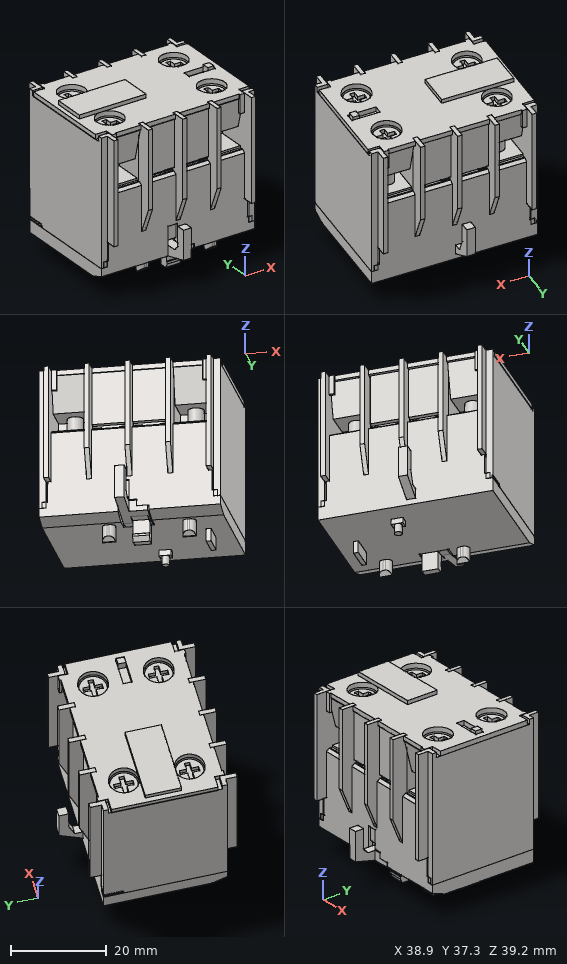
import cadquery as cq


HALF_X = 19.4
HALF_Y = 13.42
TOP_Z = 34.05
WALL = 1.1
INNER_Y = HALF_Y - WALL
PLATE_Z = 3.15
WALL_EDGE_Z = 19.9
WALL_TOP_Z = 20.4
BEVEL_Y = 12.65
BASE_CHAMFER_Z = 1.18
BASE_CHAMFER_Y = 3.3

RIB_PITCH = 8.67
RIB_WIDTH = 1.05
RIB_TIP_Y = 15.95
RIB_FOOT_Z = 9.0
RIB_SLOPE_Z = 15.05
OUTER_RIB_IN_X = 2 * RIB_PITCH - RIB_WIDTH / 2
OUTER_RIB_OUT_X = 2 * RIB_PITCH + RIB_WIDTH / 2

TAB_X = 18.72
TAB_Z = 4.47
TAB_SETBACK = 0.08
GROOVE_X = 17.55

COVER_THICK = 1.18
SHELL_TOP_Z = TOP_Z - COVER_THICK
LEDGE_Y = 11.78
FLOOR_Z = 20.9
BAY_CEILING_Z = 25.12
BAY_BACK_Y = 5.1
HOOD_TOP_Y = 12.95
HOOD_BOTTOM_Y = 11.0
PANEL_Y = 12.87
PANEL_BOTTOM_Z = 21.35
PANEL_GAP = 0.15
STEP_Z = 20.72
STEP_NOTCH = 3.8
SIDE_NOTCH_DEPTH = 0.25
SIDE_NOTCH_Z = 3.75
SIDE_NOTCH_Y = 8.87
SIDE_NOTCH_TOP_Y = 9.25

TOP_CENTER_Y = 0.2
COVER_LEFT_X = -19.5
COVER_HALF_Y = 13.35
CORNER_HALF_Y = 11.55
CORNER_X = 16.72
LIP_WIDTH = 1.15
LIP_HALF_Y = 13.7
LIP_THICK = 0.55
LIP_BOTTOM_Z = 29.5
LABEL_LEFT_X = -18.4
LABEL_RIGHT_X = -1.57
LABEL_WIDTH = 7.85
LABEL_HEIGHT = 0.95

SCREW_X = 12.87
SCREW_Y = 7.1
SCREW_HOLE_D = 6.45
HEAD_D = 5.95
HEAD_TOP_Z = 32.6
HEAD_THICK = 1.95
SHANK_D = 3.45
CROSS_LENGTH = 4.15
CROSS_WIDTH = 1.05
CROSS_DEPTH = 1.0

SLOT_LEFT_X = 11.35
SLOT_RIGHT_X = 17.95
SLOT_WIDTH = 1.95
KNOB_LEFT_X = 16.1
KNOB_RIGHT_X = 17.62
KNOB_WIDTH = 1.73
KNOB_TOP_Z = 34.7

LATCH_Y = 18.65
GRIP_Y = 16.5
FRONT_LATCH_LEFT_X = -2.15
FRONT_LATCH_RIGHT_X = -0.15
LATCH_BACK_Y = -7.22
LATCH_TOP_Z = 3.4
FRONT_GRIP_TOP_Z = 9.45
FRONT_GRIP_BOTTOM_Z = 2.28
FRONT_ELBOW_Y = 15.25
FRONT_ELBOW_Z = 4.67
LATCH_STEP_X = 1.5
LATCH_STEP_Z = 2.15
LATCH_FOOT_X = 3.85
LATCH_GAP = 0.25
HOOK_RIGHT_X = 3.45
HOOK_BOTTOM_Z = -4.25
HOOK_FRONT_Y = -9.22
HOOK_RELIEF_Z = 0.55
BARB_FRONT_Y = -9.58
BARB_TOP_Z = -2.6
BARB_CHAMFER_Z = -3.1
BARB_TIP_Y = -8.95
LATCH_SLOT_LEFT_X = -2.5
LATCH_SLOT_TOP_Z = 4.6
GRIP_RECESS_Z = 8.2
GRIP_RECESS_DEPTH = 0.6
REAR_LATCH_LEFT_X = -2.28
REAR_LATCH_WIDTH = 2.0
REAR_GRIP_TOP_Z = 11.1
REAR_GRIP_BOTTOM_Z = 4.1
REAR_ELBOW_Y = 15.2
REAR_ELBOW_Z = 6.55
REAR_TONGUE_BOTTOM_Z = 1.3
REAR_TONGUE_TOP_Z = 3.6

PIN_X = (-5.45, 11.75)
PIN_Y = -8.12
PIN_LENGTH = 2.83
PIN_WIDTH = 2.3
PIN_SHOULDER_Z = -2.55
PIN_TIP_Z = -3.45
PIN_TIP_FLAT = 0.4
BLADE_X = (14.25, 15.3)
BLADE_Y = (-3.05, 2.4)
BLADE_Z = -2.8
STUD_X = 3.45
STUD_Y = 7.93
STUD_D = 1.7
STUD_Z = -3.2
STUD_BLOCK_X = 2.6
STUD_BLOCK_Z = -1.25


def span(x0, x1, y0, y1, z0, z1):
    """Box between two opposite corners."""
    return cq.Workplane("XY").box(x1 - x0, y1 - y0, z1 - z0, centered=False).translate((x0, y0, z0))


def yz_prism(points, x0, x1):
    """Prism with a (y, z) outline, from x0 to x1."""
    return cq.Workplane("YZ", origin=(x0, 0, 0)).polyline(points).close().extrude(x1 - x0)


def mirrored(front, plane):
    """A shape joined with its mirror image."""
    return front.union(front.mirror(plane))


def base_wall():
    """Front wall, narrowing in steps where the shell corners come down beside it."""
    right_edge = [
        (TAB_X, PLATE_Z),
        (TAB_X, TAB_Z),
        (GROOVE_X, TAB_Z),
        (GROOVE_X, RIB_FOOT_Z),
        (OUTER_RIB_IN_X, RIB_FOOT_Z),
        (OUTER_RIB_IN_X, WALL_TOP_Z),
    ]
    left_edge = [(-x, z) for x, z in reversed(right_edge)]
    wall = (
        cq.Workplane("XZ", origin=(0, -INNER_Y, 0))
        .polyline(right_edge + left_edge).close().extrude(WALL)
    )
    for x0, x1 in ((-TAB_X, -OUTER_RIB_OUT_X), (OUTER_RIB_OUT_X, TAB_X)):
        wall = wall.cut(span(x0, x1, -HALF_Y, TAB_SETBACK - HALF_Y, PLATE_Z, TAB_Z))
    bevel = [(-HALF_Y, WALL_EDGE_Z), (-BEVEL_Y, WALL_TOP_Z), (-HALF_Y, WALL_TOP_Z)]
    return wall.cut(yz_prism(bevel, -HALF_X, HALF_X))


def inner_rib(x):
    outline = [
        (-INNER_Y, TOP_Z),
        (-RIB_TIP_Y, TOP_Z),
        (-RIB_TIP_Y, RIB_SLOPE_Z),
        (-HALF_Y, RIB_FOOT_Z),
        (-INNER_Y, RIB_FOOT_Z),
    ]
    return yz_prism(outline, x - RIB_WIDTH / 2, x + RIB_WIDTH / 2)


def base_plate():
    outline = [
        (-HALF_Y, PLATE_Z),
        (-HALF_Y, BASE_CHAMFER_Z),
        (BASE_CHAMFER_Y - HALF_Y, 0),
        (HALF_Y, 0),
        (HALF_Y, PLATE_Z),
    ]
    return yz_prism(outline, -HALF_X, HALF_X)


def pin(x):
    """Oblong pin ending in a wedge."""
    body = (
        cq.Workplane("XY", origin=(x, PIN_Y, PIN_TIP_Z))
        .slot2D(PIN_LENGTH, PIN_WIDTH).extrude(-PIN_TIP_Z)
    )
    half_width = PIN_WIDTH / 2
    wedge = [
        (PIN_Y - half_width, 0),
        (PIN_Y - half_width, PIN_SHOULDER_Z),
        (PIN_Y - PIN_TIP_FLAT / 2, PIN_TIP_Z),
        (PIN_Y + PIN_TIP_FLAT / 2, PIN_TIP_Z),
        (PIN_Y + half_width, PIN_SHOULDER_Z),
        (PIN_Y + half_width, 0),
    ]
    return body.intersect(yz_prism(wedge, x - PIN_LENGTH, x + PIN_LENGTH))


def stud():
    block = span(
        STUD_X - STUD_BLOCK_X / 2, STUD_X + STUD_BLOCK_X / 2,
        STUD_Y - STUD_D / 2, STUD_Y + STUD_D / 2, STUD_BLOCK_Z, 0,
    )
    post = cq.Workplane("XY", origin=(STUD_X, STUD_Y, STUD_Z)).circle(STUD_D / 2).extrude(-STUD_Z)
    return block.union(post)


def latch_slot():
    """Room for the front latch, open to the front and below, clear above the latch."""
    y0, y1 = -HALF_Y, LATCH_BACK_Y
    z0 = 0
    grip = span(LATCH_SLOT_LEFT_X, FRONT_LATCH_RIGHT_X, y0, y1, z0, LATCH_SLOT_TOP_Z)
    middle = span(FRONT_LATCH_RIGHT_X, LATCH_STEP_X, y0, y1, z0, LATCH_TOP_Z + LATCH_GAP)
    foot = span(LATCH_STEP_X, LATCH_FOOT_X + LATCH_GAP, y0, y1, z0, LATCH_STEP_Z)
    return grip.union(middle).union(foot)


def make_base():
    walls = base_wall()
    for i in (-1, 0, 1):
        walls = walls.union(inner_rib(i * RIB_PITCH))
    body = base_plate().union(mirrored(walls, "XZ"))
    for x in PIN_X:
        body = body.union(pin(x))
    body = body.union(span(*BLADE_X, *BLADE_Y, BLADE_Z, 0)).union(stud())
    grip_recess = span(
        LATCH_SLOT_LEFT_X, FRONT_LATCH_RIGHT_X,
        -HALF_Y, GRIP_RECESS_DEPTH - HALF_Y, 0, GRIP_RECESS_Z,
    )
    return body.cut(latch_slot()).cut(grip_recess).cut(make_rear_latch())


def corner_post():
    """Front corner post at +X with its outer rib."""
    post = span(OUTER_RIB_OUT_X, HALF_X, -HALF_Y, -INNER_Y, PLATE_Z, TOP_Z)
    tab_notch = span(OUTER_RIB_OUT_X, TAB_X, -HALF_Y, -INNER_Y, PLATE_Z, TAB_Z)
    rib = span(OUTER_RIB_IN_X, OUTER_RIB_OUT_X, -RIB_TIP_Y, -INNER_Y, RIB_FOOT_Z, TOP_Z)
    return post.cut(tab_notch).union(rib)


def outer_bay():
    """Space taken out of the shell for the front terminal bay at +X."""
    x0 = RIB_PITCH + RIB_WIDTH / 2
    x1 = OUTER_RIB_IN_X
    outline = [
        (-BAY_BACK_Y, FLOOR_Z),
        (-LEDGE_Y, FLOOR_Z),
        (-LEDGE_Y, WALL_TOP_Z),
        (-INNER_Y, WALL_TOP_Z),
        (-HOOD_TOP_Y, WALL_TOP_Z),
        (-HOOD_TOP_Y, SHELL_TOP_Z),
        (-HOOD_BOTTOM_Y, BAY_CEILING_Z),
        (-BAY_BACK_Y, BAY_CEILING_Z),
    ]
    return yz_prism(outline, x0, x1)


def outer_hood():
    """Block above the front terminal bay at +X, before the bay is cut away."""
    x0 = RIB_PITCH + RIB_WIDTH / 2
    return span(x0, OUTER_RIB_IN_X, -HOOD_TOP_Y, -INNER_Y, WALL_TOP_Z, SHELL_TOP_Z)


def panel_recess(x0, x1):
    """Undercut below a front panel, with a notched step on its floor."""
    recess = span(x0, x1, -INNER_Y, -LEDGE_Y, WALL_TOP_Z, PANEL_BOTTOM_Z)
    step = span(x0, x1, -INNER_Y, -LEDGE_Y, WALL_TOP_Z, STEP_Z)
    middle_x = (x0 + x1) / 2
    notch = span(
        middle_x - STEP_NOTCH / 2, middle_x + STEP_NOTCH / 2,
        -INNER_Y, -LEDGE_Y, WALL_TOP_Z, STEP_Z,
    )
    return recess.cut(step.cut(notch))


def side_notch():
    outline = [
        (HALF_Y, PLATE_Z),
        (SIDE_NOTCH_Y, PLATE_Z),
        (SIDE_NOTCH_TOP_Y, SIDE_NOTCH_Z),
        (HALF_Y, SIDE_NOTCH_Z),
    ]
    return yz_prism(outline, -HALF_X, SIDE_NOTCH_DEPTH - HALF_X)


def make_shell():
    body = span(-HALF_X, HALF_X, -INNER_Y, INNER_Y, PLATE_Z, SHELL_TOP_Z)
    posts = mirrored(mirrored(corner_post(), "YZ"), "XZ")
    hoods = mirrored(mirrored(outer_hood(), "YZ"), "XZ")
    bays = mirrored(mirrored(outer_bay(), "YZ"), "XZ")
    body = body.union(posts).union(hoods).cut(bays)

    inner_left = RIB_WIDTH / 2 - RIB_PITCH
    inner_right = RIB_PITCH - RIB_WIDTH / 2
    for x0, x1, gap in ((inner_left, -RIB_WIDTH / 2, 0), (RIB_WIDTH / 2, inner_right, PANEL_GAP)):
        panel = span(x0, x1 - gap, -PANEL_Y, -INNER_Y, PANEL_BOTTOM_Z, SHELL_TOP_Z)
        body = body.union(mirrored(panel, "XZ"))
        body = body.cut(mirrored(panel_recess(x0, x1), "XZ"))

    for x, y in screw_places():
        body = body.cut(screw_room(x, y))
    return body.cut(side_notch()).cut(latch_slot())


def screw_places():
    return [(sx * SCREW_X, TOP_CENTER_Y + sy * SCREW_Y) for sx in (-1, 1) for sy in (-1, 1)]


def screw_blank(x, y):
    """Head and shank without the cross recess; the shank ends on the bay floor."""
    under_head_z = HEAD_TOP_Z - HEAD_THICK
    head = cq.Workplane("XY", origin=(x, y, under_head_z)).circle(HEAD_D / 2).extrude(HEAD_THICK)
    shank = (
        cq.Workplane("XY", origin=(x, y, FLOOR_Z))
        .circle(SHANK_D / 2).extrude(under_head_z - FLOOR_Z)
    )
    return head.union(shank)


def head_well(x, y):
    """Well around the screw head, up through the cover."""
    bottom_z = HEAD_TOP_Z - HEAD_THICK
    return (
        cq.Workplane("XY", origin=(x, y, bottom_z))
        .circle(SCREW_HOLE_D / 2).extrude(TOP_Z - bottom_z)
    )


def screw_room(x, y):
    return head_well(x, y).union(screw_blank(x, y))


def make_screw(x, y):
    cross = (
        cq.Workplane("XY", origin=(x, y, HEAD_TOP_Z - CROSS_DEPTH))
        .rect(CROSS_LENGTH, CROSS_WIDTH).extrude(CROSS_DEPTH)
        .union(
            cq.Workplane("XY", origin=(x, y, HEAD_TOP_Z - CROSS_DEPTH))
            .rect(CROSS_WIDTH, CROSS_LENGTH).extrude(CROSS_DEPTH)
        )
    )
    return screw_blank(x, y).cut(cross)


def make_cover():
    front_y = TOP_CENTER_Y - COVER_HALF_Y
    rear_y = TOP_CENTER_Y + COVER_HALF_Y
    body = span(COVER_LEFT_X, HALF_X, front_y, rear_y, SHELL_TOP_Z, TOP_Z)

    for side in (-1, 1):
        for end in (-1, 1):
            corner_x = sorted((side * CORNER_X, -side * COVER_LEFT_X))
            corner_y = sorted((TOP_CENTER_Y + end * CORNER_HALF_Y, end * RIB_TIP_Y))
            body = body.cut(span(*corner_x, *corner_y, SHELL_TOP_Z, TOP_Z))
            lip_x = sorted((side * CORNER_X, side * (CORNER_X - LIP_WIDTH)))
            lip_y = sorted(TOP_CENTER_Y + end * y for y in (LIP_HALF_Y - LIP_THICK, LIP_HALF_Y))
            body = body.union(span(*lip_x, *lip_y, LIP_BOTTOM_Z, TOP_Z))

    for i in (-1, 0, 1):
        body = body.cut(mirrored(inner_rib(i * RIB_PITCH), "XZ"))
    for x, y in screw_places():
        body = body.cut(head_well(x, y))

    slot_y0 = TOP_CENTER_Y - SLOT_WIDTH / 2
    slot = span(SLOT_LEFT_X, SLOT_RIGHT_X, slot_y0, slot_y0 + SLOT_WIDTH, SHELL_TOP_Z, TOP_Z)
    label_y0 = TOP_CENTER_Y - LABEL_WIDTH / 2
    label = span(
        LABEL_LEFT_X, LABEL_RIGHT_X, label_y0, label_y0 + LABEL_WIDTH, TOP_Z, TOP_Z + LABEL_HEIGHT
    )
    return body.cut(slot).union(label)


def make_slider():
    y0 = TOP_CENTER_Y - KNOB_WIDTH / 2
    return span(KNOB_LEFT_X, KNOB_RIGHT_X, y0, y0 + KNOB_WIDTH, SHELL_TOP_Z, KNOB_TOP_Z)


def make_front_latch():
    """Grip in front of the housing, stepped foot inside it and a hook below."""
    profile = [
        (-LATCH_Y, FRONT_GRIP_TOP_Z),
        (-LATCH_Y, FRONT_GRIP_BOTTOM_Z),
        (HOOK_FRONT_Y, 0),
        (LATCH_BACK_Y, 0),
        (LATCH_BACK_Y, LATCH_TOP_Z),
        (-FRONT_ELBOW_Y, LATCH_TOP_Z),
        (-GRIP_Y, FRONT_ELBOW_Z),
        (-GRIP_Y, FRONT_GRIP_TOP_Z),
    ]
    grip = yz_prism(profile, FRONT_LATCH_LEFT_X, FRONT_LATCH_RIGHT_X)
    foot = yz_prism(profile, FRONT_LATCH_RIGHT_X, LATCH_FOOT_X)
    inside = span(
        FRONT_LATCH_RIGHT_X, LATCH_STEP_X, -HALF_Y, LATCH_BACK_Y, 0, LATCH_TOP_Z
    ).union(span(LATCH_STEP_X, LATCH_FOOT_X, -HALF_Y, LATCH_BACK_Y, 0, LATCH_STEP_Z))
    hook_profile = [
        (LATCH_BACK_Y, 0),
        (HOOK_FRONT_Y, 0),
        (HOOK_FRONT_Y, BARB_TOP_Z),
        (BARB_FRONT_Y, BARB_TOP_Z),
        (BARB_FRONT_Y, BARB_CHAMFER_Z),
        (BARB_TIP_Y, HOOK_BOTTOM_Z),
        (LATCH_BACK_Y, HOOK_BOTTOM_Z),
    ]
    hook = yz_prism(hook_profile, FRONT_LATCH_RIGHT_X, HOOK_RIGHT_X)
    relief = span(FRONT_LATCH_RIGHT_X, HOOK_RIGHT_X, -HALF_Y, HOOK_FRONT_Y, 0, HOOK_RELIEF_Z)
    return grip.union(foot.intersect(inside).cut(relief)).union(hook)


def make_rear_latch():
    """Grip behind the housing with a tongue set into the rear wall."""
    profile = [
        (LATCH_Y, REAR_GRIP_TOP_Z),
        (LATCH_Y, REAR_GRIP_BOTTOM_Z),
        (HALF_Y, REAR_TONGUE_BOTTOM_Z),
        (INNER_Y, REAR_TONGUE_BOTTOM_Z),
        (INNER_Y, REAR_TONGUE_TOP_Z),
        (REAR_ELBOW_Y, REAR_TONGUE_TOP_Z),
        (GRIP_Y, REAR_ELBOW_Z),
        (GRIP_Y, REAR_GRIP_TOP_Z),
    ]
    return yz_prism(profile, REAR_LATCH_LEFT_X, REAR_LATCH_LEFT_X + REAR_LATCH_WIDTH)


base = make_base()
shell = make_shell()
cover = make_cover()
screws = [make_screw(x, y) for x, y in screw_places()]
slider = make_slider()
front_latch = make_front_latch()
rear_latch = make_rear_latch()

result = cq.Compound.makeCompound([
    base.solids().val(),
    shell.solids().val(),
    cover.solids().val(),
    *[screw.solids().val() for screw in screws],
    slider.solids().val(),
    front_latch.solids().val(),
    rear_latch.solids().val(),
])